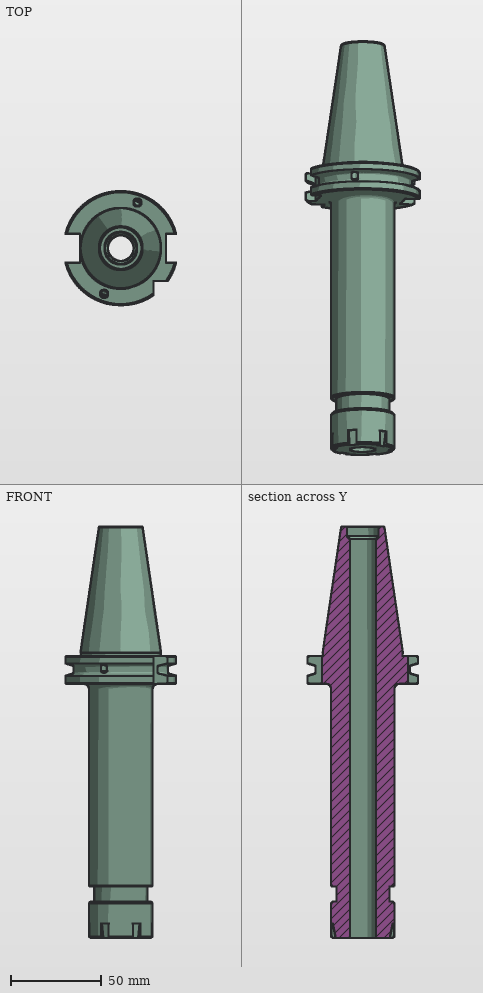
import cadquery as cq
import math

TOTAL_LENGTH = 228.5

TAPER_LENGTH = 68.3
GAUGE_RADIUS = 22.2
TAPER_RATIO = 7 / 24
TAPER_TIP_RADIUS = GAUGE_RADIUS - TAPER_LENGTH * TAPER_RATIO / 2
TIP_CHAMFER = 0.7

FLANGE_RADIUS = 31.7
FLANGE_TOP = TOTAL_LENGTH - 72.0
FLANGE_THICKNESS = 15.5
FLANGE_BOTTOM = FLANGE_TOP - FLANGE_THICKNESS
FLANGE_CHAMFER = 0.7
GROOVE_MIDDLE = FLANGE_TOP - 7.5
GROOVE_FLOOR_RADIUS = 27.5
GROOVE_FLOOR_WIDTH = 4.0
GROOVE_MOUTH_WIDTH = 6.9
GROOVE_FILLET = 1.0

RELIEF_HEIGHT = 1.8
TAPER_BASE_RADIUS = TAPER_TIP_RADIUS + (TOTAL_LENGTH - FLANGE_TOP - RELIEF_HEIGHT) * TAPER_RATIO / 2
TAPER_BASE_CHAMFER = 0.2
RELIEF_RADIUS = TAPER_BASE_RADIUS - TAPER_BASE_CHAMFER
RELIEF_FILLET = 0.5

DRIVE_SLOT_WIDTH = 16.0
LEFT_SLOT_FLOOR = 22.5
RIGHT_SLOT_FLOOR = 25.1
NOTCH_CORNER = 18.3
FLANGE_HOLE_RADIUS = 1.8
FLANGE_HOLE_CHAMFER = 0.5
FLANGE_HOLE_CIRCLE = 27.0
FLANGE_HOLE_ANGLE = 70.0
FLANGE_HOLE_DEPTH = 8.5
DRILL_TIP_ANGLE = 118.0

SHANK_RADIUS = 35.5 / 2
SHANK_BOTTOM = 28.5
SHANK_FILLET = 2.7
SHANK_CHAMFER = 0.7
NECK_RADIUS = 14.8
NUT_RADIUS = SHANK_RADIUS
NUT_HEIGHT = 20.3
NUT_CHAMFER = 1.1
NUT_BOTTOM_CHAMFER = 1.0
NUT_SLOT_COUNT = 6
NUT_SLOT_WIDTH = 4.8
NUT_SLOT_HEIGHT = 8.0
NUT_SLOT_TOP_RADIUS = 16.7
NUT_SLOT_BOTTOM_RADIUS = 15.0

BORE_RADIUS = 7.0
COUNTERBORE_RADIUS = 8.7
COUNTERBORE_DEPTH = 5.5
MOUTH_CHAMFER = 0.5

ARC_MIDDLE = 1 - math.sqrt(0.5)


def revolve_profile(points):
    return cq.Workplane("XZ").polyline(points).close().revolve(360, (0, 0, 0), (0, 1, 0))


def turned_about_axis(shape, angle):
    return shape.rotate((0, 0, 0), (0, 0, 1), angle)


def turned_body():
    """Revolved outside shape, from the nut face up to the taper tip."""
    shank_middle = SHANK_FILLET * ARC_MIDDLE
    relief_middle = RELIEF_FILLET * ARC_MIDDLE
    profile = (
        cq.Workplane("XZ")
        .moveTo(0, 0)
        .lineTo(NUT_RADIUS - NUT_BOTTOM_CHAMFER, 0)
        .lineTo(NUT_RADIUS, NUT_BOTTOM_CHAMFER)
        .lineTo(NUT_RADIUS, NUT_HEIGHT - NUT_CHAMFER)
        .lineTo(NUT_RADIUS - NUT_CHAMFER, NUT_HEIGHT)
        .lineTo(NECK_RADIUS, NUT_HEIGHT)
        .lineTo(NECK_RADIUS, SHANK_BOTTOM)
        .lineTo(SHANK_RADIUS - SHANK_CHAMFER, SHANK_BOTTOM)
        .lineTo(SHANK_RADIUS, SHANK_BOTTOM + SHANK_CHAMFER)
        .lineTo(SHANK_RADIUS, FLANGE_BOTTOM - SHANK_FILLET)
        .threePointArc(
            (SHANK_RADIUS + shank_middle, FLANGE_BOTTOM - shank_middle),
            (SHANK_RADIUS + SHANK_FILLET, FLANGE_BOTTOM),
        )
        .lineTo(FLANGE_RADIUS - FLANGE_CHAMFER, FLANGE_BOTTOM)
        .lineTo(FLANGE_RADIUS, FLANGE_BOTTOM + FLANGE_CHAMFER)
        .lineTo(FLANGE_RADIUS, FLANGE_TOP - FLANGE_CHAMFER)
        .lineTo(FLANGE_RADIUS - FLANGE_CHAMFER, FLANGE_TOP)
        .lineTo(RELIEF_RADIUS + RELIEF_FILLET, FLANGE_TOP)
        .threePointArc(
            (RELIEF_RADIUS + relief_middle, FLANGE_TOP + relief_middle),
            (RELIEF_RADIUS, FLANGE_TOP + RELIEF_FILLET),
        )
        .lineTo(RELIEF_RADIUS, FLANGE_TOP + RELIEF_HEIGHT - TAPER_BASE_CHAMFER)
        .lineTo(TAPER_BASE_RADIUS, FLANGE_TOP + RELIEF_HEIGHT)
        .lineTo(TAPER_TIP_RADIUS, TOTAL_LENGTH - TIP_CHAMFER)
        .lineTo(TAPER_TIP_RADIUS - TIP_CHAMFER, TOTAL_LENGTH)
        .lineTo(0, TOTAL_LENGTH)
        .close()
    )
    return profile.revolve(360, (0, 0, 0), (0, 1, 0))


def flange_groove():
    """V-groove around the flange rim, with rounded corners at its flat floor."""
    half_floor = GROOVE_FLOOR_WIDTH / 2
    half_mouth = GROOVE_MOUTH_WIDTH / 2
    ring = revolve_profile([
        (FLANGE_RADIUS, GROOVE_MIDDLE - half_mouth),
        (GROOVE_FLOOR_RADIUS, GROOVE_MIDDLE - half_floor),
        (GROOVE_FLOOR_RADIUS, GROOVE_MIDDLE + half_floor),
        (FLANGE_RADIUS, GROOVE_MIDDLE + half_mouth),
    ])
    return ring.edges(cq.selectors.RadiusNthSelector(0)).fillet(GROOVE_FILLET)


def axial_bore():
    """Through bore with a chamfered counterbore and a 45 degree step at the taper tip."""
    step_top = TOTAL_LENGTH - COUNTERBORE_DEPTH
    step_bottom = step_top - (COUNTERBORE_RADIUS - BORE_RADIUS)
    return revolve_profile([
        (0, 0),
        (BORE_RADIUS, 0),
        (BORE_RADIUS, step_bottom),
        (COUNTERBORE_RADIUS, step_top),
        (COUNTERBORE_RADIUS, TOTAL_LENGTH - MOUTH_CHAMFER),
        (COUNTERBORE_RADIUS + MOUTH_CHAMFER, TOTAL_LENGTH),
        (0, TOTAL_LENGTH),
    ])


def flange_block(x_size, y_size, x_start, y_start):
    """Box through the flange thickness with its lowest corner at (x_start, y_start)."""
    return cq.Workplane("XY").box(x_size, y_size, FLANGE_THICKNESS, centered=False).translate(
        (x_start, y_start, FLANGE_BOTTOM)
    )


def flange_slots():
    """Two drive slots of unequal depth and the corner-shaped orientation notch."""
    reach = FLANGE_RADIUS
    half_width = DRIVE_SLOT_WIDTH / 2
    left = flange_block(reach, DRIVE_SLOT_WIDTH, -LEFT_SLOT_FLOOR - reach, -half_width)
    right = flange_block(reach, DRIVE_SLOT_WIDTH, RIGHT_SLOT_FLOOR, -half_width)
    notch = flange_block(reach, reach, NOTCH_CORNER, -NOTCH_CORNER - reach)
    return left.union(right).union(notch)


def flange_holes():
    """Two opposite drilled holes, chamfered at the mouth, that break into the V-groove."""
    tip_height = FLANGE_HOLE_RADIUS / math.tan(math.radians(DRILL_TIP_ANGLE / 2))
    drill = revolve_profile([
        (0, 0),
        (FLANGE_HOLE_RADIUS + FLANGE_HOLE_CHAMFER, 0),
        (FLANGE_HOLE_RADIUS, -FLANGE_HOLE_CHAMFER),
        (FLANGE_HOLE_RADIUS, -FLANGE_HOLE_DEPTH),
        (0, -FLANGE_HOLE_DEPTH - tip_height),
    ]).translate((FLANGE_HOLE_CIRCLE, 0, FLANGE_TOP))
    first = turned_about_axis(drill, FLANGE_HOLE_ANGLE)
    return first.union(turned_about_axis(first, 180))


def nut_slots():
    """Spanner slots around the lower edge of the nut, with floors that slope inward going down."""
    slot = (
        cq.Workplane("XZ")
        .polyline([
            (NUT_SLOT_BOTTOM_RADIUS, 0),
            (NUT_SLOT_TOP_RADIUS, NUT_SLOT_HEIGHT),
            (NUT_RADIUS + NUT_SLOT_WIDTH, NUT_SLOT_HEIGHT),
            (NUT_RADIUS + NUT_SLOT_WIDTH, 0),
        ])
        .close()
        .extrude(NUT_SLOT_WIDTH / 2, both=True)
    )
    slots = slot
    for index in range(1, NUT_SLOT_COUNT):
        slots = slots.union(turned_about_axis(slot, index * 360 / NUT_SLOT_COUNT))
    return slots


result = (
    turned_body()
    .cut(flange_groove())
    .cut(axial_bore())
    .cut(flange_slots())
    .cut(flange_holes())
    .cut(nut_slots())
)